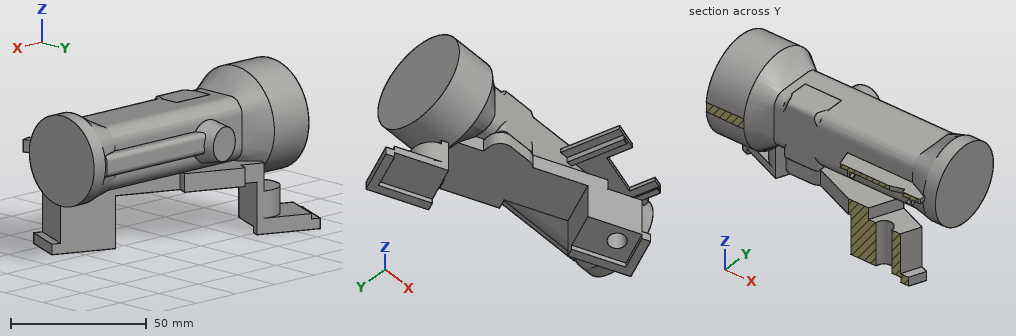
import cadquery as cq
import math


OVERALL_LENGTH = 112.6
OVERALL_HEIGHT = 60.2
CLEARANCE = 1.1

OBJECTIVE_RADIUS = 21.0
OBJECTIVE_END = 17.7
TUBE_START = 26.2
TUBE_END = 91.4
EYEPIECE_START = 99.7
EYEPIECE_RADIUS = 17.2
EYEPIECE_CENTER = (-0.8, 0.2)
TUBE_FAR = 12.7
TUBE_NEAR = -13.9
TUBE_HALF_HEIGHT = 12.2
NEAR_TOP_RADIUS = 5.6
TUBE_CORNER_RADIUS = 6.2
FAR_FLAT_ANGLES = (27, 56)
NEAR_FLAT_ANGLES = (136, 149)

BLOCK_START = 30.2
BLOCK_END = 47.3
BLOCK_BACK = -0.2
BLOCK_BOTTOM = -12.7
BLOCK_BLEND = 2.3
BLOCK_RISE = 0.06

KNOB_X = 43.4
KNOB_Z = -0.8
KNOB_TURN = 8
KNOB_ROOT = 3.4
KNOB_LENGTH = 7.3
KNOB_BASE_RADIUS = 8.1
KNOB_TOP_RADIUS = 6.5
RAIL_START = 45.1
RAIL_OUTER = 17.3
RAIL_HALF_HEIGHT = 4.0
RAIL_ROUND = 2.0

FORK_ANGLE = 16.5
FORK_CORNER = (67.8, -37.4)
FORK_TOP = 2.1
FORK_THICKNESS = 2.0
FORK_WIDE_ARM = 10.3
FORK_SLOT_END = 28.2
FORK_SLOT_DEPTH = 10.7
FORK_NARROW_END = 32.3
FORK_SHOULDER = 6.9
FORK_REACH = 39.4
FORK_LIMIT_X = 100.5
FORK_LIMIT_Y = -5.6
HOOK_DEPTH = 2.7
HOOK_WEB = 1.0
HOOK_FOOT = 2.4
HOOK_FOOT_HEIGHT = 0.7
HOOK_INSET = 3.3

MOUNT_ANGLE = -22.5
MOUNT_NEAR = 6.3
MOUNT_FAR = 24.8
MOUNT_START = -6.9
MOUNT_END = 92.4
MOUNT_LIP = 3.5
MOUNT_BOTTOM = OBJECTIVE_RADIUS - OVERALL_HEIGHT
LIP_TOP = -35.1
RECESS_TOP = -36.8
BRIDGE_TOP = -12.0
BRIDGE_BOTTOM = -19.2
BRIDGE_END = 78.6
WALL_START = 11.8
WALL_END = 14.8
FOOT_TOP = -33.1
POST_TOP = -22.8
REAR_BLOCK_START = 70.6
REAR_BLOCK_TOP = -17.2
HOLE_CENTER = (85.2, 12.7)
HOLE_RADIUS = 3.7
TAB_START = 21.1
TAB_END = 45.1
TAB_FAR = 29.2

MOUNT_TURN = math.radians(MOUNT_ANGLE)
FRONT_CORNER_X = (MOUNT_START - MOUNT_LIP) * math.cos(MOUNT_TURN) - MOUNT_NEAR * math.sin(MOUNT_TURN)
EYEPIECE_END = OVERALL_LENGTH + FRONT_CORNER_X

BOSS_START = 29.0
BOSS_END = 49.7
BOSS_RADIUS = 5.9
BOSS_STEP = 0.06


def span_box(x_span, y_span, z_span):
    """Box between the given limits along each axis."""
    size = [span[1] - span[0] for span in (x_span, y_span, z_span)]
    corner = (x_span[0], y_span[0], z_span[0])
    return cq.Workplane("XY").box(*size, centered=False).translate(corner)


def corner_point(center, radius, angle):
    """Point on a rounded corner at an angle in degrees from +Y towards +Z."""
    turn = math.radians(angle)
    return center[0] + radius * math.cos(turn), center[1] + radius * math.sin(turn)


def tube_section(plane):
    """Rounded rectangle whose two upper corners each carry a narrow flat."""
    half = TUBE_HALF_HEIGHT
    big = TUBE_CORNER_RADIUS
    small = NEAR_TOP_RADIUS
    far_center = (TUBE_FAR - big, half - big)
    near_center = (TUBE_NEAR + small, half - small)
    return (
        plane.moveTo(TUBE_NEAR + big, -half)
        .lineTo(TUBE_FAR - big, -half)
        .radiusArc((TUBE_FAR, big - half), -big)
        .lineTo(TUBE_FAR, half - big)
        .radiusArc(corner_point(far_center, big, FAR_FLAT_ANGLES[0]), -big)
        .lineTo(*corner_point(far_center, big, FAR_FLAT_ANGLES[1]))
        .radiusArc((TUBE_FAR - big, half), -big)
        .lineTo(TUBE_NEAR + small, half)
        .radiusArc(corner_point(near_center, small, NEAR_FLAT_ANGLES[0]), -small)
        .lineTo(*corner_point(near_center, small, NEAR_FLAT_ANGLES[1]))
        .radiusArc((TUBE_NEAR, half - small), -small)
        .lineTo(TUBE_NEAR, big - half)
        .radiusArc((TUBE_NEAR + big, -half), -big)
        .close()
    )


def x_plane(x):
    return cq.Workplane("YZ", origin=(x, 0, 0))


def make_scope():
    objective = x_plane(0).circle(OBJECTIVE_RADIUS).extrude(OBJECTIVE_END)
    front_cone = tube_section(
        x_plane(OBJECTIVE_END).circle(OBJECTIVE_RADIUS).workplane(offset=TUBE_START - OBJECTIVE_END)
    ).loft()
    tube = tube_section(x_plane(TUBE_START)).extrude(TUBE_END - TUBE_START)
    rear_cone = (
        tube_section(x_plane(TUBE_END))
        .workplane(offset=EYEPIECE_START - TUBE_END)
        .center(*EYEPIECE_CENTER)
        .circle(EYEPIECE_RADIUS)
        .loft()
    )
    eyepiece = (
        x_plane(EYEPIECE_START).center(*EYEPIECE_CENTER)
        .circle(EYEPIECE_RADIUS).extrude(EYEPIECE_END - EYEPIECE_START)
    )
    return objective.union(front_cone).union(tube).union(rear_cone).union(eyepiece)


def blend_cutter(x_outer, x_wall, center_z):
    """Ring that hollows a block end so it sweeps concavely onto the near top tube corner."""
    blend_top = NEAR_TOP_RADIUS + BLOCK_BLEND
    reach = 2 * blend_top
    profile = (
        cq.Workplane("XY")
        .moveTo(x_outer, NEAR_TOP_RADIUS)
        .radiusArc((x_wall, blend_top), math.copysign(BLOCK_BLEND, x_outer - x_wall))
        .lineTo(x_wall, reach)
        .lineTo(x_outer, reach)
        .close()
    )
    ring = profile.revolve(360, (0, 0, 0), (1, 0, 0))
    return ring.translate((0, TUBE_NEAR + NEAR_TOP_RADIUS, center_z))


def make_block():
    top = TUBE_HALF_HEIGHT + BLOCK_RISE
    block = span_box((BLOCK_START, BLOCK_END), (TUBE_NEAR, BLOCK_BACK), (BLOCK_BOTTOM, top))
    block = block.edges("|X and >Z and <Y").fillet(BLOCK_BLEND)
    corner_z = TUBE_HALF_HEIGHT - NEAR_TOP_RADIUS
    corner_y = TUBE_NEAR + NEAR_TOP_RADIUS
    for outer, inward in ((BLOCK_START, 1), (BLOCK_END, -1)):
        wall = outer + inward * BLOCK_BLEND
        x_span = sorted((outer, wall))
        upper = span_box(x_span, (TUBE_NEAR - CLEARANCE, corner_y), (corner_z, top + CLEARANCE))
        block = block.cut(blend_cutter(outer, wall, corner_z).intersect(upper))
        lower_hollow = (
            cq.Workplane("XY", origin=(outer, TUBE_NEAR, BLOCK_BOTTOM))
            .lineTo(inward * BLOCK_BLEND, 0)
            .radiusArc((0, BLOCK_BLEND), inward * BLOCK_BLEND)
            .close()
            .extrude(TUBE_CORNER_RADIUS - TUBE_HALF_HEIGHT - BLOCK_BOTTOM)
        )
        block = block.cut(lower_hollow)
    return block


def make_knob():
    slope = (KNOB_BASE_RADIUS - KNOB_TOP_RADIUS) / KNOB_LENGTH
    knob = (
        cq.Workplane("XY")
        .moveTo(0, -KNOB_ROOT)
        .lineTo(KNOB_BASE_RADIUS + slope * KNOB_ROOT, -KNOB_ROOT)
        .lineTo(KNOB_TOP_RADIUS, KNOB_LENGTH)
        .lineTo(0, KNOB_LENGTH)
        .close()
        .revolve(360, (0, 0, 0), (0, 1, 0))
    )
    knob = knob.rotate((0, 0, 0), (0, 0, 1), KNOB_TURN)
    return knob.translate((KNOB_X, TUBE_FAR, KNOB_Z))


def make_rail():
    rail = span_box(
        (RAIL_START, EYEPIECE_START), (0, RAIL_OUTER), (-RAIL_HALF_HEIGHT, RAIL_HALF_HEIGHT)
    )
    return rail.edges("|X and >Y").fillet(RAIL_ROUND)


def make_fork():
    plate_bottom = FORK_TOP - FORK_THICKNESS
    hook_bottom = plate_bottom - HOOK_DEPTH
    plate = (
        cq.Workplane("XY", origin=(0, 0, plate_bottom))
        .lineTo(FORK_WIDE_ARM, 0)
        .lineTo(FORK_WIDE_ARM, FORK_SLOT_DEPTH)
        .lineTo(FORK_SLOT_END, FORK_SLOT_DEPTH)
        .lineTo(FORK_SLOT_END, 0)
        .lineTo(FORK_NARROW_END, 0)
        .lineTo(FORK_NARROW_END, FORK_SHOULDER)
        .lineTo(FORK_REACH, FORK_SHOULDER)
        .lineTo(FORK_REACH, FORK_REACH)
        .lineTo(0, FORK_REACH)
        .close()
        .extrude(FORK_THICKNESS)
    )
    for outer, inward in ((HOOK_INSET, 1), (FORK_NARROW_END, -1)):
        web_span = sorted((outer, outer + inward * HOOK_WEB))
        foot_span = sorted((outer, outer + inward * HOOK_FOOT))
        web = span_box(web_span, (0, FORK_REACH), (hook_bottom, plate_bottom))
        foot = span_box(foot_span, (0, FORK_REACH), (hook_bottom, hook_bottom + HOOK_FOOT_HEIGHT))
        plate = plate.union(web).union(foot)
    plate = plate.rotate((0, 0, 0), (0, 0, 1), FORK_ANGLE).translate((*FORK_CORNER, 0))
    limits = span_box((0, FORK_LIMIT_X), (2 * FORK_CORNER[1], FORK_LIMIT_Y), (hook_bottom, FORK_TOP))
    return plate.intersect(limits)


def make_mount():
    width = (MOUNT_NEAR, MOUNT_FAR)
    bridge = span_box((WALL_START, BRIDGE_END), width, (BRIDGE_BOTTOM, BRIDGE_TOP))
    tab = span_box((TAB_START, TAB_END), (MOUNT_NEAR, TAB_FAR), (BRIDGE_BOTTOM, BRIDGE_TOP))
    wall = span_box((WALL_START, WALL_END), width, (MOUNT_BOTTOM, BRIDGE_TOP))
    foot = span_box((MOUNT_START, WALL_END), width, (MOUNT_BOTTOM, FOOT_TOP))
    middle = (MOUNT_NEAR + MOUNT_FAR) / 2
    post = (
        cq.Workplane("XY", origin=(WALL_START, middle, RECESS_TOP))
        .circle((MOUNT_FAR - MOUNT_NEAR) / 2)
        .extrude(POST_TOP - RECESS_TOP)
        .intersect(span_box((MOUNT_START, WALL_END), width, (RECESS_TOP, POST_TOP)))
    )
    rear_block = span_box((REAR_BLOCK_START, MOUNT_END), width, (MOUNT_BOTTOM, REAR_BLOCK_TOP))
    lips = span_box((MOUNT_START - MOUNT_LIP, MOUNT_END + MOUNT_LIP), width, (MOUNT_BOTTOM, LIP_TOP))
    lips = lips.cut(span_box((WALL_END, REAR_BLOCK_START), width, (MOUNT_BOTTOM, LIP_TOP)))
    recess = span_box(
        (MOUNT_START, MOUNT_END), (MOUNT_NEAR, MOUNT_FAR - MOUNT_LIP), (MOUNT_BOTTOM, RECESS_TOP)
    )
    hole = (
        cq.Workplane("XY", origin=(*HOLE_CENTER, MOUNT_BOTTOM))
        .circle(HOLE_RADIUS).extrude(BRIDGE_TOP - MOUNT_BOTTOM)
    )
    mount = bridge.union(tab).union(wall).union(foot).union(post).union(rear_block).union(lips)
    mount = mount.cut(recess).cut(hole)
    return mount.rotate((0, 0, 0), (0, 0, 1), MOUNT_ANGLE)


def make_boss():
    y_span = (TUBE_NEAR - BOSS_STEP, 0)
    boss = span_box((BOSS_START, BOSS_END), y_span, (BRIDGE_BOTTOM, BLOCK_BOTTOM))
    return boss.edges("|Z and <Y").fillet(BOSS_RADIUS)


result = make_scope()
for piece in (make_block(), make_knob(), make_rail(), make_fork(), make_boss(), make_mount()):
    result = result.union(piece)